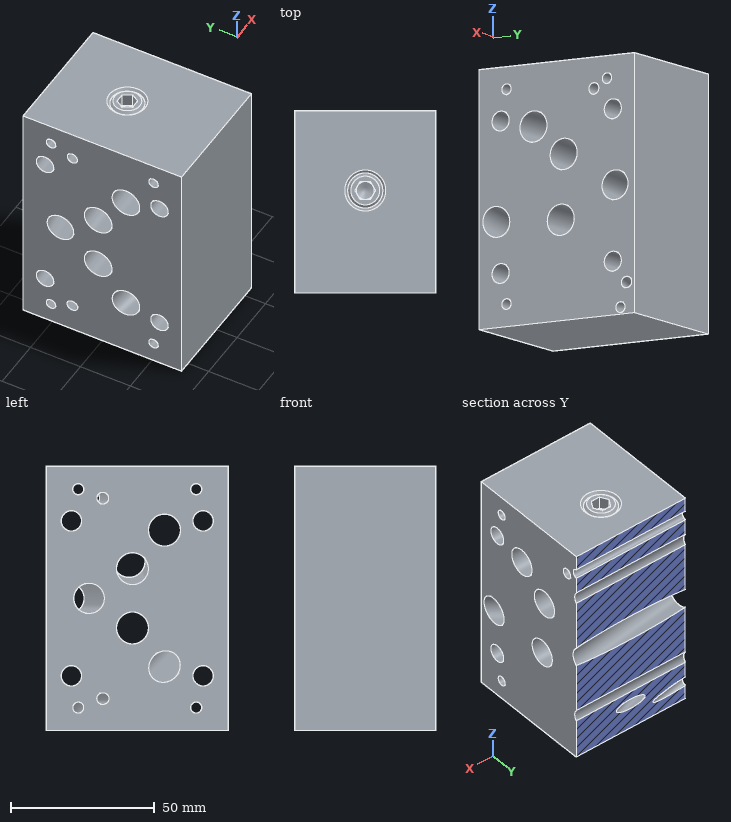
import cadquery as cq
import math

WIDTH = 49.3
DEPTH = 63.5
HEIGHT = 92.1
FACE_X = WIDTH / 2
TOP_Z = HEIGHT / 2

BOLT_DIAMETER = 7.0
BOLT_Y = 22.9
BOLT_Z = 27.0
MOUNT_DIAMETER = 3.8
MOUNT_Y = 20.5
MOUNT_Z = 38.0

PORT_DIAMETER = 11.05
SLANTED_PORT_DIAMETER = 10.5
CENTRE_PORT_Y = 1.7
CENTRE_PORT_Z = 10.3
TANK_PORT_Y = -9.5
TANK_PORT_Z = 23.8
PRESSURE_PORT_Y = 16.8

PILOT_DIAMETER = 4.05
PILOT_Y = 12.0
PILOT_Z = 34.9

STRAIGHT = (0, 0)
UPPER_CENTRE_RUN = (1.2, 2.6)
PRESSURE_RUN = (7.1, 0)
LOWER_TANK_RUN = (-15.2, 15.2)
UPPER_PILOT_RUN = (3.2, 0)
LOWER_PILOT_RUN = (16.6, 0)
LOWER_MOUNT_RUN = (5.5, -5.5)
OVERSHOOT_SHARE = 0.2

PLUG_Y = 4.0
PLUG_DIAMETER = 12.25
PLUG_LENGTH = 12.0
PLUG_CHAMFER = 1.1
SEAT_CHAMFER = 1.0
SOCKET_FLATS = 6.3
SOCKET_DEPTH = 5.1
SOCKET_TIP_DEPTH = 1.4


def cross_hole(diameter, y, z, run=STRAIGHT):
    """Cylinder that starts at (y, z) on the -X face and leaves the +X face shifted by run."""
    start = cq.Vector(-FACE_X, y, z)
    across = cq.Vector(WIDTH, *run)
    overshoot = across * OVERSHOOT_SHARE
    length = across.Length + 2 * overshoot.Length
    return cq.Solid.makeCylinder(diameter / 2, length, start - overshoot, across)


def make_plug():
    """Chamfered plug with a hexagon socket that ends in a conical tip."""
    plug = (
        cq.Workplane("XY", origin=(0, PLUG_Y, TOP_Z - PLUG_LENGTH))
        .circle(PLUG_DIAMETER / 2)
        .extrude(PLUG_LENGTH)
        .faces(">Z")
        .chamfer(PLUG_CHAMFER)
    )
    corner_diameter = SOCKET_FLATS / math.cos(math.pi / 6)
    socket = (
        cq.Workplane("XY", origin=(0, PLUG_Y, TOP_Z))
        .polygon(6, corner_diameter)
        .extrude(-SOCKET_DEPTH)
    )
    tip = cq.Solid.makeCone(
        SOCKET_FLATS / 2,
        0,
        SOCKET_TIP_DEPTH,
        cq.Vector(0, PLUG_Y, TOP_Z - SOCKET_DEPTH),
        cq.Vector(0, 0, -1),
    )
    return plug.cut(socket).cut(cq.Workplane(tip))


def make_cross_holes():
    """All holes that run from the -X face to the +X face."""
    holes = [
        cross_hole(PORT_DIAMETER, TANK_PORT_Y, TANK_PORT_Z),
        cross_hole(SLANTED_PORT_DIAMETER, TANK_PORT_Y, -TANK_PORT_Z, LOWER_TANK_RUN),
        cross_hole(PORT_DIAMETER, CENTRE_PORT_Y, CENTRE_PORT_Z, UPPER_CENTRE_RUN),
        cross_hole(PORT_DIAMETER, CENTRE_PORT_Y, -CENTRE_PORT_Z),
        cross_hole(SLANTED_PORT_DIAMETER, PRESSURE_PORT_Y, 0, PRESSURE_RUN),
        cross_hole(PILOT_DIAMETER, PILOT_Y, PILOT_Z, UPPER_PILOT_RUN),
        cross_hole(PILOT_DIAMETER, PILOT_Y, -PILOT_Z, LOWER_PILOT_RUN),
    ]
    for side in (-1, 1):
        for end in (-1, 1):
            is_slanted_corner = side == 1 and end == -1
            mount_run = LOWER_MOUNT_RUN if is_slanted_corner else STRAIGHT
            holes.append(cross_hole(BOLT_DIAMETER, side * BOLT_Y, end * BOLT_Z))
            holes.append(cross_hole(MOUNT_DIAMETER, side * MOUNT_Y, end * MOUNT_Z, mount_run))
    return holes


def make_plug_seat():
    """Blind bore for the plug, countersunk at the top face."""
    bore = (
        cq.Workplane("XY", origin=(0, PLUG_Y, TOP_Z))
        .circle(PLUG_DIAMETER / 2)
        .extrude(-PLUG_LENGTH)
    )
    countersink = cq.Solid.makeCone(
        PLUG_DIAMETER / 2 + SEAT_CHAMFER,
        PLUG_DIAMETER / 2,
        SEAT_CHAMFER,
        cq.Vector(0, PLUG_Y, TOP_Z),
        cq.Vector(0, 0, -1),
    )
    return bore.union(cq.Workplane(countersink))


def make_block():
    """Plain block cut by the cross holes and the plug seat."""
    block = cq.Workplane("XY").box(WIDTH, DEPTH, HEIGHT)
    for hole in make_cross_holes():
        block = block.cut(cq.Workplane(hole))
    return block.cut(make_plug_seat())


block = make_block()
plug = make_plug()
result = cq.Compound.makeCompound([block.val(), plug.val()])